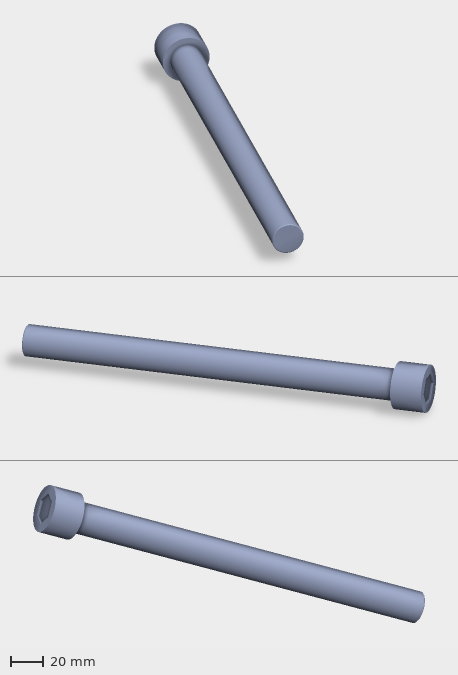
import cadquery as cq
import math

total_length = 260.0
shank_diameter = 20.0
head_diameter = 30.0
head_length = shank_diameter
tip_chamfer = 0.5
socket_across_flats = 17.0
socket_depth = 1.5

head_face_x = -total_length / 2


def cylinder_along_x(start_x, diameter, length):
    return cq.Workplane("YZ", origin=(start_x, 0, 0)).circle(diameter / 2).extrude(length)


shank = cylinder_along_x(head_face_x, shank_diameter, total_length)
shank = shank.faces(">X").chamfer(tip_chamfer)

head = cylinder_along_x(head_face_x, head_diameter, head_length)

socket_across_corners = socket_across_flats / math.cos(math.pi / 6)
socket = (
    cq.Workplane("YZ", origin=(head_face_x, 0, 0))
    .polygon(6, socket_across_corners)
    .extrude(socket_depth)
)

result = head.union(shank).cut(socket)